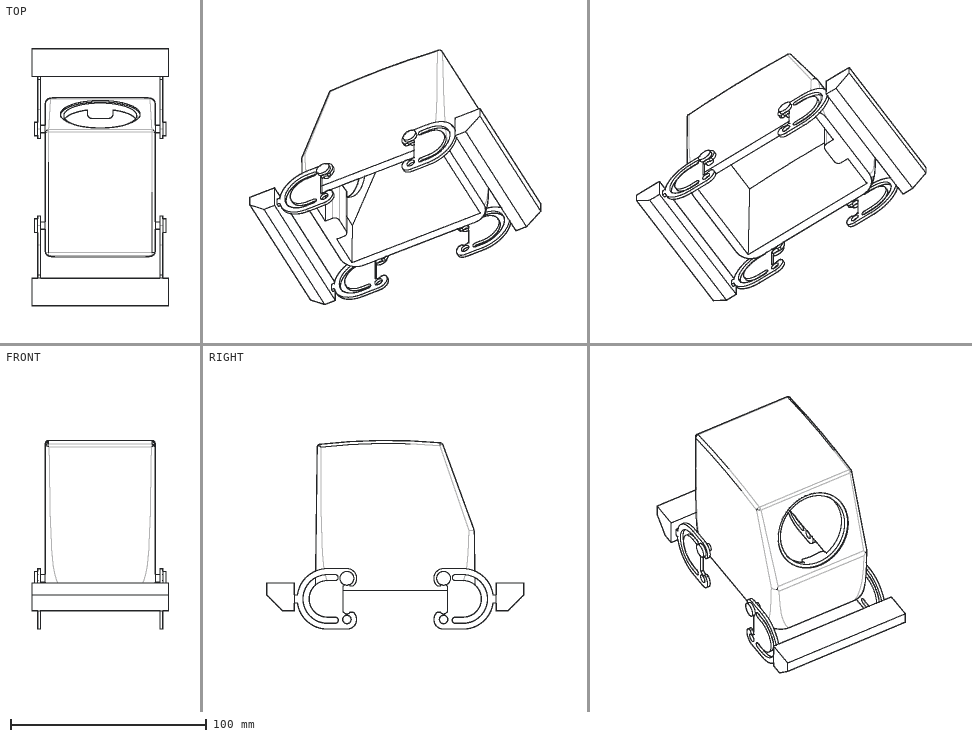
import cadquery as cq
import math


hood_half_width = 28.2
hood_half_length = 40.9
draft_slope = 0.0125
wall = 4.2
crown_y = -4.0
crown_z = 77.0
roof_radius = 302.7
knee_z = 30.8
slope_top_y = 24.1
knee_radius = 9.2
edge_radius = 1.6

corner_min_radius = 1.3
corner_growth = 55.94
corner_offset = 7.2
corner_heights = (0, 4, 10.5, 19.7, 39.5, 79)

slope_corner_at_knee = 2.8
slope_corner_at_roof = 1.7

entry_radius = 18.7
entry_rim_radius = 20.4
entry_rim_depth = 0.8
post_width = 13.3
post_face_y = 30.0
post_corner_radius = 2.6

latch_inner_x = 30.5
latch_thickness = 1.6
latch_z = -4.2
latch_arc_y = 34.7
latch_radius = 15.5
pivot_y = 24.7
lobe_radius = 5.0
pivot_drop = latch_radius - lobe_radius
plate_edge_y = 26.7
lobe_gap = 13.4
notch_radius = plate_edge_y - pivot_y
notch_offset = 5.7
slot_radius = 10.9
slot_width = 3.0
slot_end_y = 29.2
spare_hole_radius = 2.1
pin_radius = 2.0
pin_head_radius = 3.5
pin_head_x = 33.7

bar_length = 70.0
bar_outer_y = 65.8
bar_depth = 14.2
bar_top_z = 4.0
bar_height = 14.3
bar_chamfer = 8.2
stub_width = 4.2

end_y_at_knee = hood_half_length - draft_slope * knee_z


def roof_z(y):
    """Height of the arched roof at a given Y."""
    return crown_z - roof_radius + math.sqrt(roof_radius ** 2 - (y - crown_y) ** 2)


def hood_outline(bottom_z):
    """Side outline of the hood in the YZ plane, drawn down to bottom_z."""
    back_top_y = -hood_half_length + draft_slope * roof_z(-hood_half_length)
    bottom_y = hood_half_length - draft_slope * bottom_z
    return (
        cq.Workplane("YZ")
        .moveTo(-bottom_y, bottom_z)
        .lineTo(bottom_y, bottom_z)
        .lineTo(end_y_at_knee, knee_z)
        .lineTo(slope_top_y, roof_z(slope_top_y))
        .threePointArc((crown_y, crown_z), (back_top_y, roof_z(back_top_y)))
        .close()
    )


def hood_block():
    """Hood side outline pulled across the width, with its edges rounded."""
    block = hood_outline(0).extrude(hood_half_width, both=True)
    knee = cq.selectors.NearestToPointSelector((0, end_y_at_knee, knee_z))
    block = block.edges("|X").edges(knee).fillet(knee_radius)
    return block.faces("not <Z").edges("not <Z").fillet(edge_radius)


def corner_column():
    """Upright column whose corners open out towards the rim."""
    sections = []
    for height in corner_heights:
        radius = corner_min_radius + corner_growth / (height + corner_offset)
        half_length = hood_half_length - draft_slope * height
        section = cq.Sketch().rect(2 * hood_half_width, 2 * half_length).vertices().fillet(radius)
        sections.append(section.moved(cq.Location(cq.Vector(0, 0, height))))
    return cq.Workplane("XY").placeSketch(*sections).loft()


def slope_column():
    """Leaning column that rounds the two long edges of the sloping wall."""
    rise = roof_z(slope_top_y) - knee_z
    back_y = -2 * hood_half_length
    sections = []
    for height in (0, crown_z):
        share = (height - knee_z) / rise
        front_y = end_y_at_knee + share * (slope_top_y - end_y_at_knee)
        radius = slope_corner_at_knee + share * (slope_corner_at_roof - slope_corner_at_knee)
        section = cq.Sketch().rect(2 * hood_half_width, front_y - back_y).vertices().fillet(radius)
        middle = cq.Vector(0, (front_y + back_y) / 2, height)
        sections.append(section.moved(cq.Location(middle)))
    return cq.Workplane("XY").placeSketch(*sections).loft(ruled=True)


def hood():
    cavity = hood_outline(-2 * wall).offset2D(-wall, "intersection")
    cavity = cavity.extrude(hood_half_width - wall, both=True)
    outer = hood_block().intersect(corner_column()).intersect(slope_column())

    post_depth = end_y_at_knee - wall / 2 - post_face_y
    post = (
        cq.Workplane("XY")
        .center(0, post_face_y + post_depth / 2)
        .rect(post_width, post_depth)
        .extrude(crown_z)
        .edges("|Z and <Y")
        .fillet(post_corner_radius)
        .intersect(outer)
    )

    slope_rise = roof_z(slope_top_y) - knee_z
    slope_run = end_y_at_knee - slope_top_y
    entry_plane = cq.Plane(
        origin=(0, (end_y_at_knee + slope_top_y) / 2, knee_z + slope_rise / 2),
        xDir=(1, 0, 0),
        normal=(0, slope_rise, slope_run),
    )
    entry = cq.Workplane(entry_plane).circle(entry_radius).extrude(-hood_half_length)
    rim = cq.Workplane(entry_plane).circle(entry_rim_radius).extrude(-entry_rim_depth)
    return outer.cut(cavity).union(post).cut(entry).cut(rim)


def latch_slot():
    """C-shaped slot that follows the rounded side of the latch plate."""
    outer = slot_radius + slot_width / 2
    inner = slot_radius - slot_width / 2
    return (
        cq.Workplane("YZ", origin=(latch_inner_x, 0, latch_z))
        .moveTo(slot_end_y + slot_width / 2, outer)
        .lineTo(latch_arc_y, outer)
        .threePointArc((latch_arc_y + outer, 0), (latch_arc_y, -outer))
        .lineTo(slot_end_y + slot_width / 2, -outer)
        .threePointArc((slot_end_y, -slot_radius), (slot_end_y + slot_width / 2, -inner))
        .lineTo(latch_arc_y, -inner)
        .threePointArc((latch_arc_y + inner, 0), (latch_arc_y, inner))
        .lineTo(slot_end_y + slot_width / 2, inner)
        .threePointArc((slot_end_y, slot_radius), (slot_end_y + slot_width / 2, outer))
        .close()
        .extrude(latch_thickness)
    )


def latch_plate():
    base = cq.Workplane("YZ", origin=(latch_inner_x, 0, latch_z))
    lobe_tip_y = pivot_y - lobe_radius
    plate = (
        base.moveTo(pivot_y, latch_radius)
        .lineTo(latch_arc_y, latch_radius)
        .threePointArc((latch_arc_y + latch_radius, 0), (latch_arc_y, -latch_radius))
        .lineTo(pivot_y, -latch_radius)
        .threePointArc((lobe_tip_y, -pivot_drop), (pivot_y, lobe_radius - pivot_drop))
        .lineTo(pivot_y, pivot_drop - lobe_radius)
        .threePointArc((lobe_tip_y, pivot_drop), (pivot_y, latch_radius))
        .close()
        .extrude(latch_thickness)
    )
    gap = base.center(plate_edge_y / 2, 0).rect(plate_edge_y, lobe_gap).extrude(latch_thickness)
    notches = (
        base.pushPoints([(pivot_y, notch_offset), (pivot_y, -notch_offset)])
        .circle(notch_radius)
        .extrude(latch_thickness)
    )
    spare_hole = base.center(pivot_y, -pivot_drop).circle(spare_hole_radius).extrude(latch_thickness)

    stub_start_y = latch_arc_y + slot_radius + slot_width
    bar_inner_y = bar_outer_y - bar_depth
    stub = (
        base.center((stub_start_y + bar_inner_y) / 2, 0)
        .rect(bar_inner_y - stub_start_y, stub_width)
        .extrude(latch_thickness)
    )
    return plate.cut(gap).cut(notches).cut(spare_hole).cut(latch_slot()).union(stub)


def pivot_pin():
    pivot_z = latch_z + pivot_drop
    latch_outer_x = latch_inner_x + latch_thickness
    shaft_start_x = hood_half_width - wall / 2
    shaft = (
        cq.Workplane("YZ", origin=(shaft_start_x, pivot_y, pivot_z))
        .circle(pin_radius)
        .extrude(latch_outer_x - shaft_start_x)
    )
    head = (
        cq.Workplane("YZ", origin=(latch_outer_x, pivot_y, pivot_z))
        .circle(pin_head_radius)
        .extrude(pin_head_x - latch_outer_x)
    )
    return shaft.union(head)


def handle_bar():
    bar = cq.Workplane("XY").box(bar_length, bar_depth, bar_height)
    bar = bar.edges(">Y and <Z").chamfer(bar_chamfer)
    return bar.translate((0, bar_outer_y - bar_depth / 2, bar_top_z - bar_height / 2))


latch_side = latch_plate().union(pivot_pin())
latch = handle_bar().union(latch_side).union(latch_side.mirror("YZ"))

result = hood().union(latch).union(latch.mirror("XZ"))